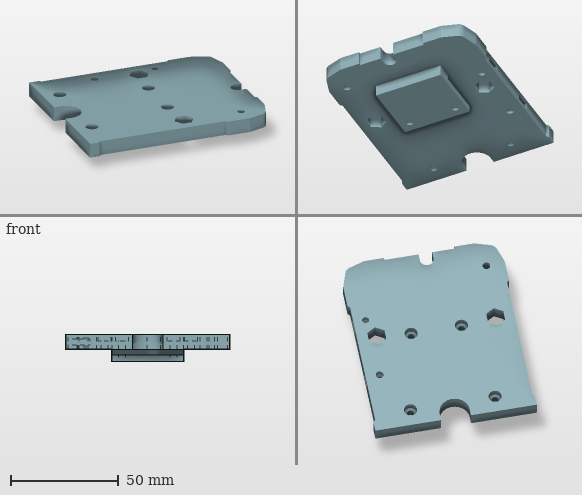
import cadquery as cq
import math

plate_width = 76.2
plate_length = 92.0
plate_thickness = 7.0
half_width = plate_width / 2

corner_leg = 12.1
corner_inset = 2.9
corner_radius = 3.7

side_relief_depth = 1.0
side_relief_run = 0.9
side_relief_front = 4.8
side_relief_rear = 69.2

rear_relief_half_width = 16.6
rear_relief_depth = 1.1

front_slot_radius = 7.1
front_slot_end = 10.4
rear_slot_radius = 3.2
rear_slot_end = 84.4
rear_slot_x = 2.8

screw_diameter = 3.2
screw_head_diameter = 6.1
screw_head_depth = 3.0
front_screw_x = 20.0
front_screw_y = 8.1
middle_screw_x = 11.9
middle_screw_y = 49.1

hex_across_flats = 8.1
hex_spacing = 56.1
hex_centre_x = 0.3
hex_y = 50.8

side_hole_rear = (-31.3, 60.2, 3.2)
side_hole_front = (-30.5, 29.6, 3.6)
corner_hole = (29.3, 78.95, 3.6)

pocket_height = 2.8
pocket_top = -2.1
pocket_width_rear = 7.3
pocket_width_front = 7.5
pocket_reach = 3.7

flange_width = 33.5
flange_front = 44.1
flange_rear = 74.0
flange_thickness = 3.0
neck_height = 2.7
neck_tip_y = 49.2
neck_tip_left = 0.7
neck_tip_right = 5.0
neck_tip_radius = 2.0
neck_left_angle = 44.6
neck_right_angle = 52.0

neck_bottom = -plate_thickness - neck_height
flange_bottom = neck_bottom - flange_thickness


def half_outline(side):
    """Points of one half of the plate outline, from the front edge to the rear edge."""
    outer = side * half_width
    inner = side * (half_width - side_relief_depth)
    return [
        (outer, 0),
        (outer, side_relief_front),
        (inner, side_relief_front + side_relief_run),
        (inner, side_relief_rear - side_relief_run),
        (outer, side_relief_rear),
        (outer, plate_length - corner_leg),
        (side * (half_width - corner_inset), plate_length - corner_inset),
        (side * (half_width - corner_leg), plate_length),
        (side * rear_relief_half_width, plate_length),
        (side * rear_relief_half_width, plate_length - rear_relief_depth),
    ]


def make_plate():
    outline = half_outline(1) + half_outline(-1)[::-1]
    plate = cq.Workplane("XY").polyline(outline).close().extrude(-plate_thickness)
    for side in (1, -1):
        corner = (side * (half_width - corner_inset), plate_length - corner_inset, -plate_thickness / 2)
        plate = plate.edges(cq.selectors.NearestToPointSelector(corner)).fillet(corner_radius)
    return plate


def edge_slot(x, edge_y, end_y, radius):
    """Cutter for a slot that runs in from an edge to a round end."""
    centre_y = end_y + math.copysign(radius, edge_y - end_y)
    slot = cq.Workplane("XY").center(x, centre_y).circle(radius).extrude(-plate_thickness)
    straight = (
        cq.Workplane("XY")
        .center(x, (edge_y + centre_y) / 2)
        .rect(2 * radius, abs(edge_y - centre_y))
        .extrude(-plate_thickness)
    )
    return slot.union(straight)


def make_hook():
    """Flange on a wedge-shaped neck whose sloped flanks lead to a blunt tip."""
    half_flange = flange_width / 2
    left_rise = (half_flange + neck_tip_left) * math.tan(math.radians(neck_left_angle))
    right_rise = (half_flange - neck_tip_right) * math.tan(math.radians(neck_right_angle))
    neck = (
        cq.Workplane("XY")
        .workplane(offset=neck_bottom)
        .polyline([
            (-half_flange, flange_rear),
            (-half_flange, neck_tip_y + left_rise),
            (neck_tip_left, neck_tip_y),
            (neck_tip_right, neck_tip_y),
            (half_flange, neck_tip_y + right_rise),
            (half_flange, flange_rear),
        ])
        .close()
        .extrude(neck_height)
    )
    for tip_x in (neck_tip_left, neck_tip_right):
        tip_corner = (tip_x, neck_tip_y, neck_bottom + neck_height / 2)
        neck = neck.edges(cq.selectors.NearestToPointSelector(tip_corner)).fillet(neck_tip_radius)
    flange = (
        cq.Workplane("XY")
        .workplane(offset=flange_bottom)
        .center(0, (flange_front + flange_rear) / 2)
        .rect(flange_width, flange_rear - flange_front)
        .extrude(flange_thickness)
    )
    return neck.union(flange)


def through_hole(x, y, diameter):
    return cq.Workplane("XY").center(x, y).circle(diameter / 2).extrude(flange_bottom)


def screw_hole(x, y):
    head = cq.Workplane("XY").center(x, y).circle(screw_head_diameter / 2).extrude(-screw_head_depth)
    return through_hole(x, y, screw_diameter).union(head)


def hex_hole(x, y):
    across_points = hex_across_flats / math.cos(math.pi / 6)
    hexagon = cq.Workplane("XY").polygon(6, across_points).extrude(-plate_thickness)
    return hexagon.rotate((0, 0, 0), (0, 0, 1), 90).translate((x, y, 0))


def nut_pocket(hole, width):
    """Cutter for a flat pocket from the left side to a point beyond the hole."""
    x, y, _ = hole
    length = x + pocket_reach + half_width
    pocket = cq.Workplane("XY").box(length, width, pocket_height, centered=(False, True, False))
    return pocket.translate((-half_width, y, pocket_top - pocket_height))


result = make_plate().union(make_hook())

result = result.cut(edge_slot(0, 0, front_slot_end, front_slot_radius))
result = result.cut(edge_slot(rear_slot_x, plate_length, rear_slot_end, rear_slot_radius))

for side in (-1, 1):
    result = result.cut(screw_hole(side * front_screw_x, front_screw_y))
    result = result.cut(screw_hole(side * middle_screw_x, middle_screw_y))
    result = result.cut(hex_hole(hex_centre_x + side * hex_spacing / 2, hex_y))

for hole in (side_hole_rear, side_hole_front, corner_hole):
    result = result.cut(through_hole(*hole))

result = result.cut(nut_pocket(side_hole_rear, pocket_width_rear))
result = result.cut(nut_pocket(side_hole_front, pocket_width_front))